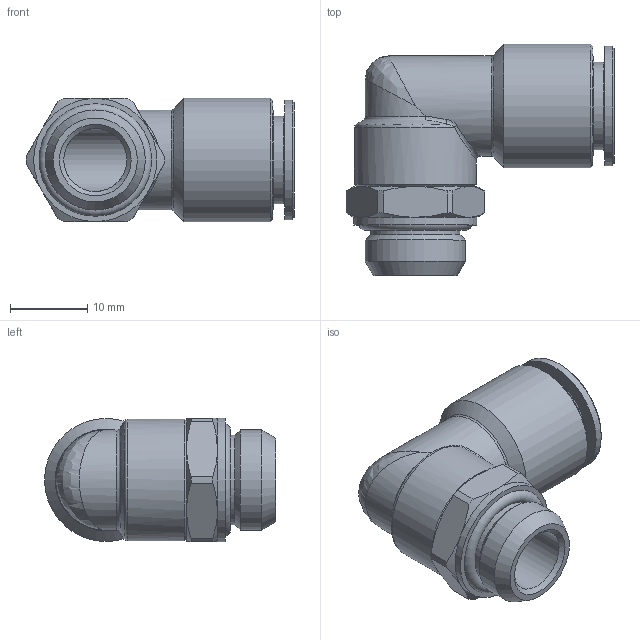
import cadquery as cq
import math


elbow_radius = 6.5
elbow_corner_fillet = 3.0
bore_radius = 4.1

tube_leg_end = 10.0
socket_radius = 8.0
socket_cone_end = tube_leg_end + socket_radius - elbow_radius
socket_root_fillet = 0.4
socket_start = tube_leg_end - socket_root_fillet
socket_end = 23.05
socket_edge_chamfer = 0.3
socket_lip_radius = 6.4
socket_lip_height = 0.15
socket_lip_end = socket_end + socket_lip_height
ring_neck_radius = 5.7
ring_flange_radius = 7.75
ring_flange_start = 24.6
ring_end = 25.8
ring_edge_chamfer = 0.25
ring_root_fillet = 0.15

collar_radius = 7.9
collar_start = 1.68
collar_shoulder_angle = math.radians(30)
collar_shoulder_end = collar_start + (collar_radius - elbow_radius) * math.tan(collar_shoulder_angle)
collar_blend = 0.5
collar_end = 10.45
collar_end_chamfer = 0.3
hex_sides = 6
hex_across_flats = 16.0
hex_corner_radius = 9.0
hex_face_radius = 8.0
hex_end = 14.45
hex_chamfer_angle = math.radians(30)
washer_radius = 8.0
washer_end = 15.45
seal_end = 16.15
seal_section_radius = 0.9
seal_mean_radius = 6.43
neck_radius = 5.8
thread_radius = 6.5
thread_start = 16.7
thread_chamfer = thread_radius - neck_radius
thread_end = 20.15
stud_tip_radius = 5.45
stud_end = 22.0
stud_mouth_radius = 4.65

reach = 2 * elbow_radius
lower_left = (-reach, -reach)
upper_left = (-reach, reach)
upper_right = (reach, reach)
lower_right = (reach, -reach)

edge_margin = 0.01


def turned_on_stud_axis(profile):
    """Revolve (radius, distance from origin) points about the stud axis."""
    points = [(radius, -distance) for radius, distance in profile]
    return cq.Workplane("XY").polyline(points).close().revolve(360, (0, 0, 0), (0, 1, 0))


def turned_on_tube_axis(profile):
    """Revolve (radius, distance from origin) points about the tube axis."""
    points = [(distance, radius) for radius, distance in profile]
    return cq.Workplane("XY").polyline(points).close().revolve(360, (0, 0, 0), (1, 0, 0))


def triangular_block(corners):
    """Block over a triangle in the XY plane, taller than the elbow."""
    return cq.Workplane("XY").polyline(corners).close().extrude(reach, both=True)


def circle_box(distance, radius):
    """Selector for circles around the tube axis at a distance from the origin, up to a radius."""
    limit = radius + edge_margin
    return cq.selectors.BoxSelector(
        (distance - edge_margin, -limit, -limit),
        (distance + edge_margin, limit, limit),
        boundingbox=True,
    )


def make_mitred_elbow():
    """Two equal cylinders meeting in a sharp mitre on the plane y = -x."""
    tube_leg = cq.Workplane("YZ").workplane(offset=-reach).circle(elbow_radius).extrude(reach + socket_start)
    stud_leg = cq.Workplane("XZ").workplane(offset=-reach).circle(elbow_radius).extrude(reach + collar_end)
    tube_side = triangular_block([upper_left, upper_right, lower_right])
    stud_side = triangular_block([upper_left, lower_left, lower_right])
    return tube_leg.intersect(tube_side).union(stud_leg.intersect(stud_side))


def make_corner_waste(elbow):
    """Material to remove from the outer mitre edge of the elbow to round it.

    The mitre is convex only where y > x, so that half is rounded on its own.
    """
    outer_half = elbow.intersect(triangular_block([lower_left, upper_left, upper_right]))
    mitre_box = cq.selectors.BoxSelector((-reach, 0, -reach), (-edge_margin, reach, reach))
    rounded_half = outer_half.edges("%ELLIPSE").edges(mitre_box).fillet(elbow_corner_fillet)
    return outer_half.cut(rounded_half)


def make_collar():
    """Round collar with a conical shoulder, where the stud leg joins the elbow."""
    collar = turned_on_stud_axis([
        (0, collar_start),
        (elbow_radius, collar_start),
        (collar_radius, collar_shoulder_end),
        (collar_radius, collar_end - collar_end_chamfer),
        (collar_radius - collar_end_chamfer, collar_end),
        (0, collar_end),
    ])
    shoulder_edge = cq.selectors.BoxSelector(
        (-reach, -collar_shoulder_end - edge_margin, -reach),
        (reach, -collar_shoulder_end + edge_margin, reach),
    )
    return collar.edges(shoulder_edge).fillet(collar_blend)


def is_collar_seam(edge):
    """True for an edge lying on the surface of the elbow and on the collar."""
    middle = edge.positionAt(0.5)
    on_tube_leg = abs(math.hypot(middle.y, middle.z) - elbow_radius) < edge_margin
    at_shoulder_foot = abs(middle.y + collar_start) < edge_margin
    below_shoulder_foot = -collar_end + edge_margin < middle.y < -collar_start
    within_collar = math.hypot(middle.x, middle.z) < collar_radius + edge_margin
    return at_shoulder_foot or (on_tube_leg and below_shoulder_foot and within_collar)


def make_body():
    """Elbow blended into the collar, with its outer corner rounded."""
    elbow = make_mitred_elbow()
    body = elbow.union(make_collar())
    seam_edges = [edge for edge in body.edges().vals() if is_collar_seam(edge)]
    body = body.newObject(seam_edges).fillet(collar_blend)
    return body.cut(make_corner_waste(elbow))


def make_hexagon():
    """Hexagon with flats facing +Z and -Z and turned chamfers on both ends."""
    half_side_turn = 180 / hex_sides
    hexagon = (
        cq.Workplane("XZ").workplane(offset=collar_end)
        .polygon(hex_sides, hex_across_flats, circumscribed=True)
        .extrude(hex_end - collar_end)
        .rotate((0, 0, 0), (0, 1, 0), half_side_turn)
    )
    chamfer_depth = (hex_corner_radius - hex_face_radius) * math.tan(hex_chamfer_angle)
    turned_envelope = turned_on_stud_axis([
        (0, collar_end),
        (hex_face_radius, collar_end),
        (hex_corner_radius, collar_end + chamfer_depth),
        (hex_corner_radius, hex_end - chamfer_depth),
        (hex_face_radius, hex_end),
        (0, hex_end),
    ])
    return hexagon.intersect(turned_envelope)


def make_seal():
    """Washer flange with a seal ring partly sunk into its end face."""
    washer = turned_on_stud_axis([
        (0, hex_end),
        (washer_radius, hex_end),
        (washer_radius, washer_end),
        (0, washer_end),
    ])
    ring_centre = cq.Vector(0, seal_section_radius - seal_end, 0)
    seal_ring = cq.Solid.makeTorus(seal_mean_radius, seal_section_radius, ring_centre, cq.Vector(0, 1, 0))
    return washer.union(seal_ring)


def make_stud():
    """Neck and plain thread body with a tapered tip."""
    return turned_on_stud_axis([
        (0, washer_end),
        (neck_radius, washer_end),
        (neck_radius, thread_start),
        (thread_radius, thread_start + thread_chamfer),
        (thread_radius, thread_end),
        (stud_tip_radius, stud_end),
        (0, stud_end),
    ])


def make_socket():
    """Tube socket with a conical root and a low lip around its mouth."""
    socket = turned_on_tube_axis([
        (0, socket_start),
        (elbow_radius, socket_start),
        (elbow_radius, tube_leg_end),
        (socket_radius, socket_cone_end),
        (socket_radius, socket_end - socket_edge_chamfer),
        (socket_radius - socket_edge_chamfer, socket_end),
        (socket_lip_radius, socket_end),
        (socket_lip_radius, socket_lip_end),
        (0, socket_lip_end),
    ])
    return socket.edges(circle_box(tube_leg_end, elbow_radius)).fillet(socket_root_fillet)


def make_release_ring():
    """Release ring: a narrow neck and an end flange."""
    ring = turned_on_tube_axis([
        (0, socket_lip_end),
        (ring_neck_radius, socket_lip_end),
        (ring_neck_radius, ring_flange_start),
        (ring_flange_radius, ring_flange_start),
        (ring_flange_radius, ring_end - ring_edge_chamfer),
        (ring_flange_radius - ring_edge_chamfer, ring_end),
        (0, ring_end),
    ])
    neck_root = circle_box(ring_flange_start, ring_neck_radius)
    return ring.edges(neck_root).fillet(ring_root_fillet)


def make_bores():
    """Two equal bores meeting at the origin, with a countersunk stud mouth."""
    countersink_depth = stud_mouth_radius - bore_radius
    stud_bore = turned_on_stud_axis([
        (0, 0),
        (bore_radius, 0),
        (bore_radius, stud_end - countersink_depth),
        (stud_mouth_radius, stud_end),
        (0, stud_end),
    ])
    tube_bore = turned_on_tube_axis([
        (0, -bore_radius),
        (bore_radius, -bore_radius),
        (bore_radius, ring_end),
        (0, ring_end),
    ])
    return stud_bore.union(tube_bore)


result = (
    make_body()
    .union(make_socket())
    .union(make_hexagon())
    .union(make_seal())
    .union(make_stud())
    .union(make_release_ring())
    .cut(make_bores())
)